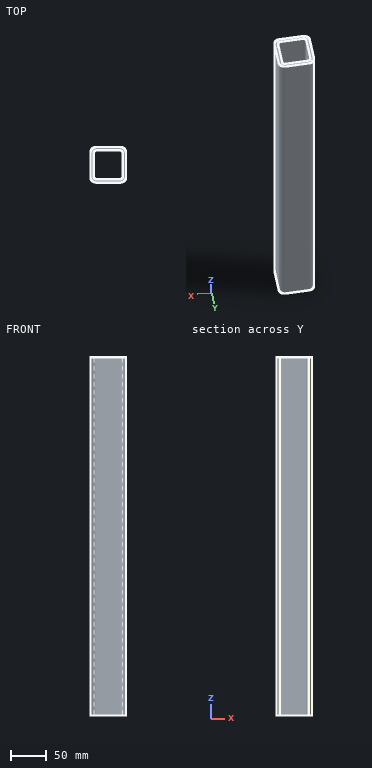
import cadquery as cq

length = 500.0
width = 50.0
wall = 5.0
outer_radius = 8.5
inner_radius = outer_radius - wall


def rounded_bar(side, radius):
    """Full-length square bar with rounded long edges, centred on the origin."""
    return cq.Workplane("XY").box(side, side, length).edges("|Z").fillet(radius)


bore = rounded_bar(width - 2 * wall, inner_radius)
result = rounded_bar(width, outer_radius).cut(bore)